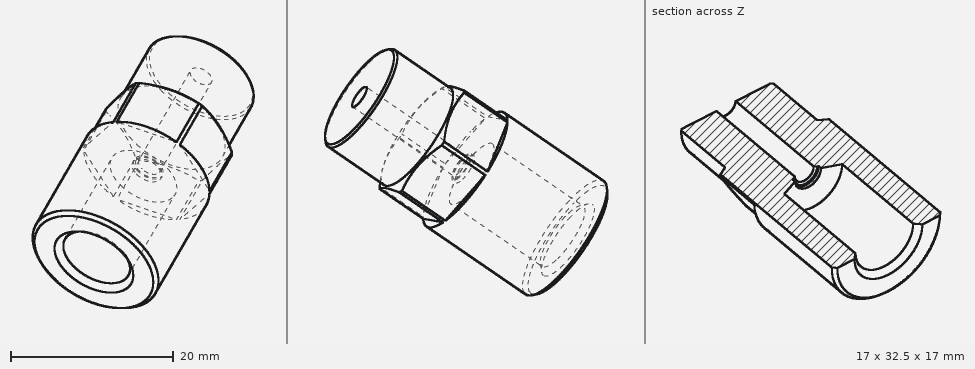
import cadquery as cq
import math

total_length = 32.5
spigot_length = 9.0
hex_length = 7.5
spigot_start = total_length - spigot_length
hex_start = spigot_start - hex_length

body_diameter = 17.0
hex_across_flats = 14.98
spigot_diameter = 14.5
front_chamfer = 0.5
rear_chamfer = 0.3
hex_chamfer_angle = 30.0

mouth_diameter = 10.63
bore_diameter = 9.0
bore_depth = 15.0
bore_cone_angle = 135.0
recess_diameter = 4.0
recess_depth = 0.5
passage_mouth_diameter = 3.55
passage_diameter = 2.95


def revolve_profile(points):
    """Revolve (radius, y) points about the Y axis into a solid."""
    return cq.Workplane("XY").polyline(points).close().revolve(360, (0, 0, 0), (0, 1, 0))


def make_body():
    """Stepped round body, with the crown chamfer that cuts the rear hex corners."""
    body_radius = body_diameter / 2
    spigot_radius = spigot_diameter / 2
    crown_length = (body_radius - spigot_radius) * math.tan(math.radians(hex_chamfer_angle))
    return revolve_profile([
        (0, 0),
        (body_radius - front_chamfer, 0),
        (body_radius, front_chamfer),
        (body_radius, spigot_start - crown_length),
        (spigot_radius, spigot_start),
        (spigot_radius, total_length - rear_chamfer),
        (spigot_radius - rear_chamfer, total_length),
        (0, total_length),
    ])


def make_flat_cutter():
    """Ring around the hexagon section: all material outside the six flats."""
    across_corners = hex_across_flats / math.cos(math.radians(30))
    return (
        cq.Workplane("XZ", origin=(0, hex_start, 0))
        .circle(body_diameter)
        .polygon(6, across_corners)
        .extrude(-hex_length)
    )


def make_bore():
    """Countersunk front bore with a conical bottom, leading to a small through passage."""
    mouth_radius = mouth_diameter / 2
    bore_radius = bore_diameter / 2
    recess_radius = recess_diameter / 2
    passage_mouth_radius = passage_mouth_diameter / 2
    passage_radius = passage_diameter / 2
    cone_end = bore_depth + (bore_radius - recess_radius) / math.tan(math.radians(bore_cone_angle / 2))
    recess_end = cone_end + recess_depth
    return revolve_profile([
        (0, 0),
        (mouth_radius, 0),
        (bore_radius, mouth_radius - bore_radius),
        (bore_radius, bore_depth),
        (recess_radius, cone_end),
        (recess_radius, recess_end),
        (passage_mouth_radius, recess_end),
        (passage_radius, recess_end + passage_mouth_radius - passage_radius),
        (passage_radius, total_length),
        (0, total_length),
    ])


result = make_body().cut(make_flat_cutter()).cut(make_bore())